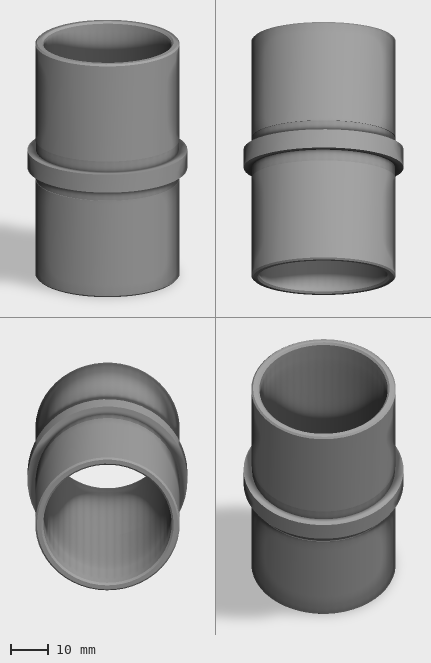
import cadquery as cq

length = 65.0
flange_diameter = 42.4
sleeve_diameter = 38.3
neck_diameter = 37.9
bore_diameter = 34.0

flange_thickness = 5.0
neck_length = 3.0

outer_chamfer = 0.45
bore_chamfer = 0.5


def centred_cylinder(diameter, height):
    """Cylinder on the Z axis, centred on the origin."""
    return cq.Workplane("XY").circle(diameter / 2).extrude(height / 2, both=True)


def end_sleeve():
    """Upper sleeve, running from the neck to the end, with its outer end edge chamfered."""
    sleeve_start = flange_thickness / 2 + neck_length
    return (
        cq.Workplane("XY")
        .workplane(offset=sleeve_start)
        .circle(sleeve_diameter / 2)
        .extrude(length / 2 - sleeve_start)
        .faces(">Z")
        .edges()
        .chamfer(outer_chamfer)
    )


upper_sleeve = end_sleeve()
lower_sleeve = upper_sleeve.mirror("XY")
neck = centred_cylinder(neck_diameter, flange_thickness + 2 * neck_length)
flange = centred_cylinder(flange_diameter, flange_thickness)
body = neck.union(flange).union(upper_sleeve).union(lower_sleeve)

bored = body.cut(centred_cylinder(bore_diameter, length))
bore_mouths = bored.edges(cq.selectors.RadiusNthSelector(0))
result = bore_mouths.chamfer(bore_chamfer)